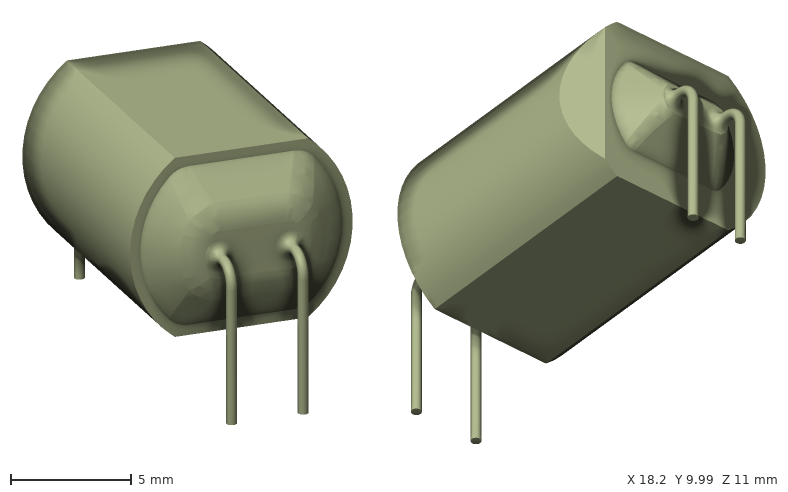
import cadquery as cq
import math

overall_length = 18.23
overall_height = 11.01
body_length = 12.0
body_diameter = 9.99
body_height = 8.0
corner_chamfer = 1.35

cap_length = 1.5

left_inset = 1.7
left_slope_angle = 47.0
left_corner_radius = 0.88

right_inset = 0.45
right_slope_angle = 51.0
right_corner_radius = 2.0
right_rim_radius = 1.82

lead_diameter = 0.45
lead_bend_radius = 0.91
lead_root_fillet = 0.47
lead_z = -0.05
left_lead_spacing = 2.53
right_lead_spacing = 3.2

body_end = body_length / 2
cap_end = body_end + cap_length
lead_radius = lead_diameter / 2
lead_x = overall_length / 2 - lead_radius
lead_bottom = body_height / 2 - overall_height


def flatted_outline(start_x, inset):
    """Circle with flats above and below, its normal along +X, inset all round."""
    radius = body_diameter / 2 - inset
    half_height = body_height / 2 - inset
    half_flat = math.sqrt(radius**2 - half_height**2)
    return (
        cq.Workplane("YZ", origin=(start_x, 0, 0))
        .moveTo(-half_flat, -half_height)
        .lineTo(half_flat, -half_height)
        .threePointArc((radius, 0), (half_flat, half_height))
        .lineTo(-half_flat, half_height)
        .threePointArc((-radius, 0), (-half_flat, -half_height))
        .close()
    )


def make_body():
    """Flatted bar with one vertical corner cut away at the -X, +Y side."""
    bar = flatted_outline(-body_end, 0).extrude(body_length)
    half_width = body_diameter / 2
    corner = (
        cq.Workplane("XY", origin=(0, 0, -body_height / 2))
        .moveTo(-body_end, half_width)
        .lineTo(-body_end + corner_chamfer, half_width)
        .lineTo(-body_end, half_width - corner_chamfer)
        .close()
        .extrude(body_height)
    )
    return bar.cut(corner)


def make_cap(inset, slope_angle, corner_radius):
    """Tapered cap on the +X end face with its four sloping corners rounded."""
    cap = flatted_outline(body_end, inset).extrude(cap_length, taper=slope_angle)
    sloping_edges = cap.edges("not(<X or >X)")
    return sloping_edges.fillet(corner_radius)


def make_lead(y):
    """Wire leaving the flat end of the +X cap, bent down through a quarter turn."""
    bend_start = lead_x - lead_bend_radius
    diagonal = lead_bend_radius * math.sqrt(0.5)
    path = (
        cq.Workplane("XZ", origin=(0, y, lead_z))
        .moveTo(cap_end, 0)
        .lineTo(bend_start, 0)
        .threePointArc(
            (bend_start + diagonal, diagonal - lead_bend_radius),
            (lead_x, -lead_bend_radius),
        )
        .lineTo(lead_x, lead_bottom - lead_z)
    )
    return cq.Workplane("YZ", origin=(cap_end, y, lead_z)).circle(lead_radius).sweep(path)


def make_root_flare(y):
    """Concave flare around a wire, standing on the flat end of the +X cap."""
    flare_end = cap_end + lead_root_fillet
    flare_radius = lead_radius + lead_root_fillet
    arc_sag = lead_root_fillet * (1 - math.sqrt(0.5))
    return (
        cq.Workplane("XY", origin=(0, y, lead_z))
        .moveTo(cap_end, 0)
        .lineTo(cap_end, flare_radius)
        .threePointArc((cap_end + arc_sag, lead_radius + arc_sag), (flare_end, lead_radius))
        .lineTo(flare_end, 0)
        .close()
        .revolve(360, (0, 0, 0), (1, 0, 0))
    )


def make_right_end():
    """Wide cap with a rounded rim and two leads filleted into it."""
    end = make_cap(right_inset, right_slope_angle, right_corner_radius)
    end = end.faces(">X").edges().fillet(right_rim_radius)
    for y in (-right_lead_spacing / 2, right_lead_spacing / 2):
        end = end.union(make_lead(y))
    half_size = cq.Vector(lead_radius, right_lead_spacing, lead_diameter)
    center = cq.Vector(cap_end, 0, lead_z)
    root_box = cq.selectors.BoxSelector(
        (center - half_size).toTuple(), (center + half_size).toTuple(), boundingbox=True
    )
    return end.edges(root_box).fillet(lead_root_fillet)


def make_left_end():
    """Narrow cap with two leads, their flares trimmed to its small flat end."""
    end = make_cap(left_inset, left_slope_angle, left_corner_radius)
    flat_end = end.faces(">X").wires().toPending().workplane()
    flat_end_prism = flat_end.extrude(lead_root_fillet, combine=False)
    for y in (-left_lead_spacing / 2, left_lead_spacing / 2):
        end = end.union(make_root_flare(y).intersect(flat_end_prism)).union(make_lead(y))
    return end.mirror("YZ")


result = make_body().union(make_right_end()).union(make_left_end())